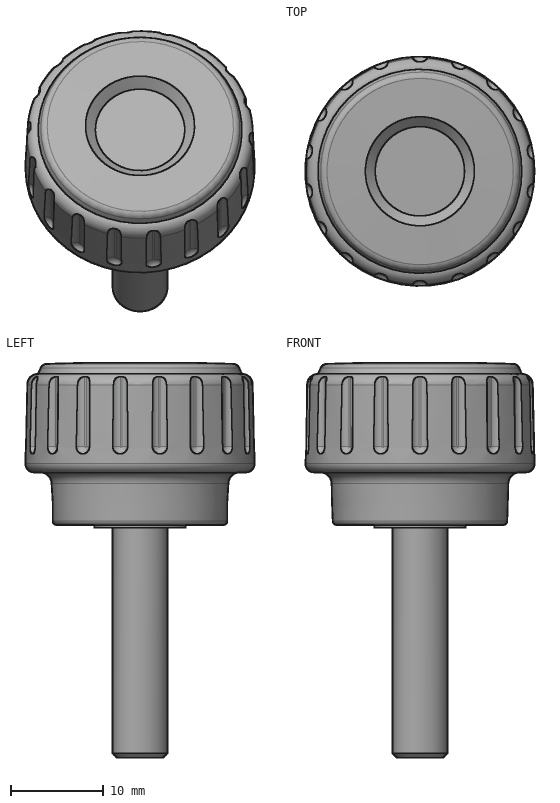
import cadquery as cq
import math

total_height = 42.95
stud_length = 25.0
collar_thickness = 0.3
cap_height = 1.2
grip_height = 10.75

hub_bottom = stud_length + collar_thickness
grip_top = total_height - cap_height
grip_bottom = grip_top - grip_height

stud_radius = 3.0
stud_chamfer = 0.5
collar_radius = 5.0

hub_bottom_radius = 9.5
hub_top_radius = 9.65
grip_bottom_radius = 12.5
grip_top_radius = 12.3
cap_bottom_radius = 11.08
cap_top_radius = 10.6

top_face_drop = 0.15
cap_rim_height = total_height - top_face_drop

hub_round = 0.47
neck_fillet = 1.2
grip_bottom_round = 1.0
grip_top_round_height = 1.2
cap_round = 0.77
grip_wall_top = grip_top - grip_top_round_height

recess_top_radius = 5.93
recess_depth = 1.07

groove_count = 18
groove_pitch = 360 / groove_count
groove_radius = 0.77
groove_floor_width = 0.2
groove_floor_radius = 11.9
groove_axis_radius = groove_floor_radius + groove_radius
groove_end = 33.9


def round_rim(body, radius, height, fillet_radius):
    """Fillet the circular edge that has the given radius and height."""
    tolerance = 0.0005
    rim = body.edges("%CIRCLE").filter(
        lambda edge: abs(edge.Center().z - height) < tolerance
        and abs(edge.radius() - radius) < tolerance
    )
    return body.newObject(rim.vals()).fillet(fillet_radius)


def make_knob_blank():
    """Turned knob: hub, grip and cap, with a shallow cone on top and all rims rounded."""
    blank = (
        cq.Workplane("XZ")
        .moveTo(0, hub_bottom)
        .lineTo(hub_bottom_radius, hub_bottom)
        .lineTo(hub_top_radius, grip_bottom)
        .lineTo(grip_bottom_radius, grip_bottom)
        .lineTo(grip_top_radius, grip_wall_top)
        .tangentArcPoint((cap_bottom_radius, grip_top), relative=False)
        .lineTo(cap_top_radius, cap_rim_height)
        .lineTo(recess_top_radius, total_height)
        .lineTo(0, total_height)
        .close()
        .revolve(360, (0, 0, 0), (0, 1, 0))
    )
    blank = round_rim(blank, hub_bottom_radius, hub_bottom, hub_round)
    blank = round_rim(blank, hub_top_radius, grip_bottom, neck_fillet)
    blank = round_rim(blank, grip_bottom_radius, grip_bottom, grip_bottom_round)
    return round_rim(blank, cap_top_radius, cap_rim_height, cap_round)


def make_recess():
    """Cone frustum that is removed from the top face."""
    return cq.Workplane(
        cq.Solid.makeCone(
            recess_top_radius - recess_depth,
            recess_top_radius,
            recess_depth,
            pnt=cq.Vector(0, 0, total_height - recess_depth),
        )
    )


def make_groove_cutter():
    """Upright slot-shaped bar with a rounded lower end, its end centred on the origin."""
    half_floor = groove_floor_width / 2
    half_width = half_floor + groove_radius
    bar = (
        cq.Workplane("XY")
        .slot2D(2 * half_width, 2 * groove_radius, 90)
        .extrude(total_height - groove_end)
    )
    rounded_end = (
        cq.Workplane("XY")
        .moveTo(-groove_radius, 0)
        .lineTo(-groove_radius, half_floor)
        .radiusArc((0, half_width), groove_radius)
        .lineTo(0, 0)
        .close()
        .revolve(360, (0, 0, 0), (1, 0, 0))
    )
    return bar.union(rounded_end)


def make_knob():
    knob = make_knob_blank().cut(make_recess())
    cutter = make_groove_cutter().translate((groove_axis_radius, 0, groove_end))
    for index in range(groove_count):
        angle = 90 + index * groove_pitch
        knob = knob.cut(cutter.rotate((0, 0, 0), (0, 0, 1), angle))
    return knob


def make_stud():
    """Stud with a chamfered free end and a thin collar that seats against the hub."""
    shank = cq.Workplane("XY").circle(stud_radius).extrude(stud_length)
    shank = shank.faces("<Z").chamfer(stud_chamfer)
    collar = cq.Workplane("XY", origin=(0, 0, stud_length)).circle(collar_radius).extrude(collar_thickness)
    return shank.union(collar)


knob = make_knob()
stud = make_stud()

result = cq.Compound.makeCompound([knob.val(), stud.val()])